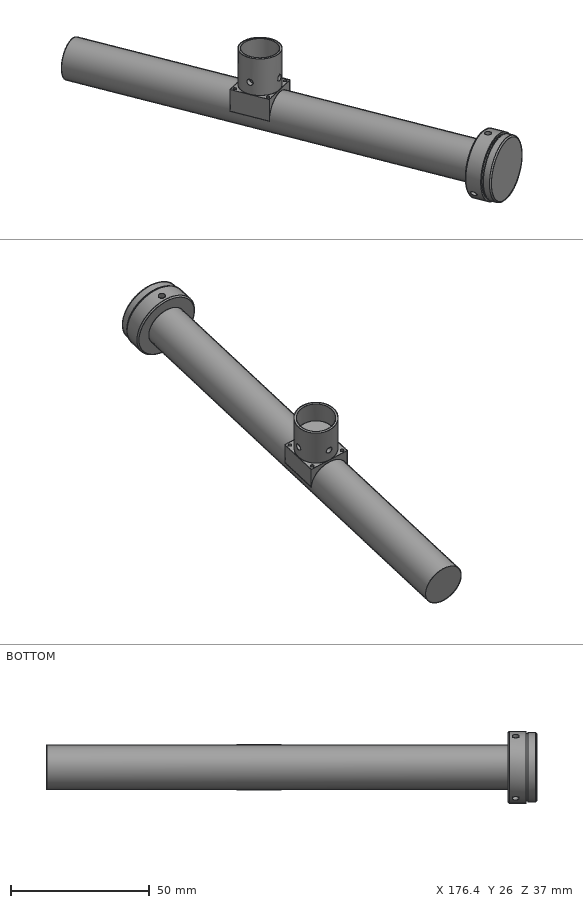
import cadquery as cq

total_length = 176.4
total_height = 37.0
bar_diameter = 16.0

collar_diameter = 26.0
collar_start = 166.0
collar_length = 6.5
groove_diameter = 24.3
groove_width = 0.7
cap_diameter = 25.0
edge_chamfer = 0.5
collar_hole_diameter = 2.5
collar_hole_depth = 2.6
collar_hole_offset = 2.8
collar_hole_count = 3

branch_x = 76.4
block_width = 16.2
block_length = 15.9
block_top = 9.0
branch_top = total_height - collar_diameter / 2
socket_diameter = 15.9
socket_bore = 14.1
socket_depth = 8.5
socket_hole_diameter = 2.5
socket_hole_depth = 2.1
socket_hole_height = 14.0
corner_hole_diameter = 1.2
corner_hole_offset = 6.7
corner_hole_depth = 2.6


def disc(start, length, diameter):
    """Cylinder along X beginning at the given X position."""
    return cq.Workplane("YZ", origin=(start, 0, 0)).circle(diameter / 2).extrude(length)


def radial_hole(center, direction, radius, diameter, depth):
    """Blind hole cutter entering a round surface toward its centre."""
    inner_radius = radius - depth
    start = cq.Vector(*center) + cq.Vector(*direction) * inner_radius
    return cq.Workplane(obj=cq.Solid.makeCylinder(diameter / 2, 2 * depth, start, cq.Vector(*direction)))


def make_head():
    groove_start = collar_start + collar_length
    cap_start = groove_start + groove_width
    collar = disc(collar_start, collar_length, collar_diameter).faces("<X").chamfer(edge_chamfer)
    groove = disc(groove_start, groove_width, groove_diameter)
    cap = disc(cap_start, total_length - cap_start, cap_diameter).faces(">X").chamfer(edge_chamfer)
    head = collar.union(groove).union(cap)
    hole = radial_hole(
        (collar_start + collar_hole_offset, 0, 0), (0, 0, 1),
        collar_diameter / 2, collar_hole_diameter, collar_hole_depth,
    )
    for index in range(collar_hole_count):
        head = head.cut(hole.rotate((0, 0, 0), (1, 0, 0), index * 360 / collar_hole_count))
    return head


def make_block():
    base = cq.Workplane("XY", origin=(branch_x, 0, 0))
    return base.rect(block_length, block_width).extrude(block_top)


def make_socket():
    base = cq.Workplane("XY", origin=(branch_x, 0, block_top))
    return base.circle(socket_diameter / 2).extrude(branch_top - block_top)


def cut_branch_holes(body):
    top = cq.Workplane("XY", origin=(branch_x, 0, branch_top))
    body = body.cut(top.circle(socket_bore / 2).extrude(-socket_depth))
    for direction in ((1, 0, 0), (-1, 0, 0), (0, 1, 0), (0, -1, 0)):
        body = body.cut(radial_hole(
            (branch_x, 0, socket_hole_height), direction,
            socket_diameter / 2, socket_hole_diameter, socket_hole_depth,
        ))
    corners = (
        cq.Workplane("XY", origin=(branch_x, 0, block_top))
        .rect(2 * corner_hole_offset, 2 * corner_hole_offset, forConstruction=True)
        .vertices()
        .circle(corner_hole_diameter / 2)
        .extrude(-corner_hole_depth)
    )
    return body.cut(corners)


bar = disc(0, total_length, bar_diameter)
body = bar.union(make_head()).union(make_block()).union(make_socket())
result = cut_branch_holes(body)